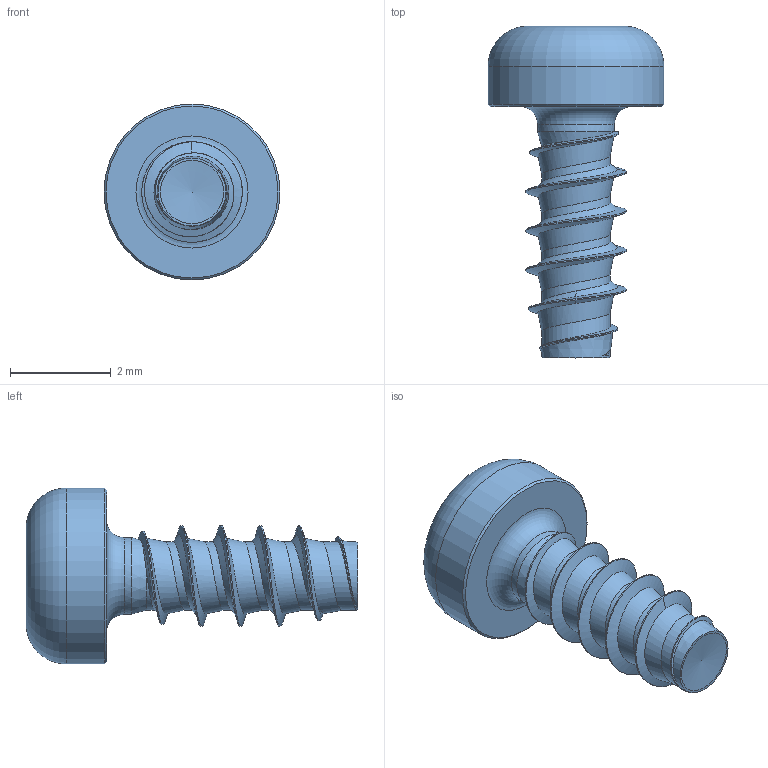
import cadquery as cq
import math


HEAD_RADIUS = 1.75
HEAD_HEIGHT = 1.6
HEAD_CROWN_RADIUS = 0.8
HEAD_RIM_CHAMFER = 0.04

SHANK_LENGTH = 5.0
CORE_RADIUS = 0.68
NECK_RADIUS = 0.765
NECK_FILLET = 0.35
NECK_END = -0.5
NECK_TAPER_END = -0.8
TIP_TAPER_START = -4.0
TIP_TAPER_START_RADIUS = 0.78
TIP_RADIUS = 0.675
OVERRUN = 1.0

DIMPLE_RADIUS = 0.63
DIMPLE_DEPTH = 0.06

PITCH = 0.78
TURNS = 7
THREAD_START = -5.2
THREAD_RADIUS = 1.0
CREST_HALF_WIDTH = 0.012
KNEE_RADIUS = 0.82
KNEE_OFFSET = 0.05
UPPER_FLANK_FLARE = 0.85
LOWER_FLANK_SLOPE = 0.29
TOOTH_FOOT_RADIUS = 0.6

TIP_FADE_TURNS = 1.75
FULL_TURNS = 3.25
NECK_FADE_TURNS = TURNS - TIP_FADE_TURNS - FULL_TURNS
TIP_FADE_TAPER = 0.284
NECK_FADE_TAPER = 0.19

ROOT_RADIUS = 0.77
ROOT_TAPER = 0.2
ROOT_LENGTH = 0.55
ROOT_FOOT_RADIUS = 0.55


def revolve_about_z(outline):
    """Turn a (radius, height) outline, closed along the axis, about Z."""
    return outline.close().revolve(360, (0, 0, 0), (0, 1, 0))


def make_head():
    crown_start = HEAD_HEIGHT - HEAD_CROWN_RADIUS
    outline = (
        cq.Workplane("XZ")
        .lineTo(HEAD_RADIUS - HEAD_RIM_CHAMFER, 0)
        .lineTo(HEAD_RADIUS, HEAD_RIM_CHAMFER)
        .lineTo(HEAD_RADIUS, crown_start)
        .radiusArc((HEAD_RADIUS - HEAD_CROWN_RADIUS, HEAD_HEIGHT), -HEAD_CROWN_RADIUS)
        .lineTo(0, HEAD_HEIGHT)
    )
    return revolve_about_z(outline)


def make_neck():
    outline = (
        cq.Workplane("XZ")
        .lineTo(NECK_RADIUS + NECK_FILLET, 0)
        .radiusArc((NECK_RADIUS, -NECK_FILLET), -NECK_FILLET)
        .lineTo(NECK_RADIUS, NECK_END)
        .lineTo(CORE_RADIUS, NECK_TAPER_END)
        .lineTo(0, NECK_TAPER_END)
    )
    return revolve_about_z(outline)


def helix_section(start_radius, height, start_turn, turns, taper):
    """Helix on a cylinder, or on a cone whose radius changes by taper per unit of height."""
    if taper == 0:
        helix = cq.Wire.makeHelix(PITCH, turns * PITCH, start_radius)
    else:
        stretch = math.hypot(1, taper)
        cone_angle = math.degrees(math.atan(taper))
        helix = cq.Wire.makeHelix(
            PITCH * stretch, turns * PITCH * stretch, start_radius, angle=cone_angle
        )
    helix = helix.rotate(cq.Vector(0, 0, 0), cq.Vector(0, 0, 1), 360 * start_turn)
    return helix.translate(cq.Vector(0, 0, height + start_turn * PITCH))


def ridge_cap(profile, shift, turn):
    """Flat end face of a ridge: the profile moved outwards by shift and wound by turn."""
    corners = [
        cq.Vector(radius + shift, 0, THREAD_START + offset + turn * PITCH) for radius, offset in profile
    ]
    face = cq.Face.makeFromWires(cq.Wire.makePolygon(corners, close=True))
    return face.rotate(cq.Vector(0, 0, 0), cq.Vector(0, 0, 1), 360 * turn)


def make_helical_ridge(profile, sections, shift=0):
    """Wind a closed profile of (radius, axial offset) corners through (turns, taper) sections.

    The shift moves the profile radially at the start; each tapered section then changes it.
    """
    turn = 0
    faces = [ridge_cap(profile, shift, turn)]
    for turns, taper in sections:
        helices = [
            helix_section(radius + shift, THREAD_START + offset, turn, turns, taper)
            for radius, offset in profile
        ]
        for helix, following in zip(helices, helices[1:] + helices[:1]):
            faces.extend(cq.Face.makeRuledSurface(helix, following).Faces())
        shift += turns * PITCH * taper
        turn += turns
    faces.append(ridge_cap(profile, shift, turn))
    return cq.Workplane(cq.Solid.makeSolid(cq.Shell.makeShell(faces)))


def make_tooth():
    upper_foot = KNEE_OFFSET + (KNEE_RADIUS - TOOTH_FOOT_RADIUS) * UPPER_FLANK_FLARE
    lower_foot = -CREST_HALF_WIDTH - (THREAD_RADIUS - TOOTH_FOOT_RADIUS) * LOWER_FLANK_SLOPE
    profile = [
        (TOOTH_FOOT_RADIUS, upper_foot),
        (KNEE_RADIUS, KNEE_OFFSET),
        (THREAD_RADIUS, CREST_HALF_WIDTH),
        (THREAD_RADIUS, -CREST_HALF_WIDTH),
        (TOOTH_FOOT_RADIUS, lower_foot),
    ]
    sections = [(TIP_FADE_TURNS, TIP_FADE_TAPER), (FULL_TURNS, 0), (NECK_FADE_TURNS, -NECK_FADE_TAPER)]
    return make_helical_ridge(profile, sections, shift=-TIP_FADE_TURNS * PITCH * TIP_FADE_TAPER)


def make_sloped_root():
    profile = [
        (ROOT_FOOT_RADIUS, 0),
        (ROOT_RADIUS, 0),
        (ROOT_RADIUS - ROOT_TAPER * ROOT_LENGTH, -ROOT_LENGTH),
        (ROOT_FOOT_RADIUS, -ROOT_LENGTH),
    ]
    return make_helical_ridge(profile, [(TURNS, 0)])


def make_cylinder(radius, bottom, top):
    return cq.Workplane("XY", origin=(0, 0, bottom)).circle(radius).extrude(top - bottom)


def make_root_envelope():
    tip_taper = (TIP_TAPER_START_RADIUS - TIP_RADIUS) / (SHANK_LENGTH + TIP_TAPER_START)
    return revolve_about_z(
        cq.Workplane("XZ")
        .moveTo(0, OVERRUN)
        .lineTo(TIP_TAPER_START_RADIUS, OVERRUN)
        .lineTo(TIP_TAPER_START_RADIUS, TIP_TAPER_START)
        .lineTo(TIP_RADIUS - OVERRUN * tip_taper, -SHANK_LENGTH - OVERRUN)
        .lineTo(0, -SHANK_LENGTH - OVERRUN)
    )


def make_threaded_shank():
    core = make_cylinder(CORE_RADIUS, -SHANK_LENGTH - OVERRUN, OVERRUN)
    core = core.union(make_sloped_root()).intersect(make_root_envelope())
    trim = make_cylinder(HEAD_RADIUS, -SHANK_LENGTH, NECK_END)
    return core.union(make_tooth()).intersect(trim)


def make_dimple():
    outline = (
        cq.Workplane("XZ")
        .moveTo(0, -SHANK_LENGTH)
        .lineTo(DIMPLE_RADIUS, -SHANK_LENGTH)
        .lineTo(0, -SHANK_LENGTH + DIMPLE_DEPTH)
    )
    return revolve_about_z(outline)


screw = make_head().union(make_neck()).union(make_threaded_shank()).cut(make_dimple())
result = screw.rotate((0, 0, 0), (1, 0, 0), -90)